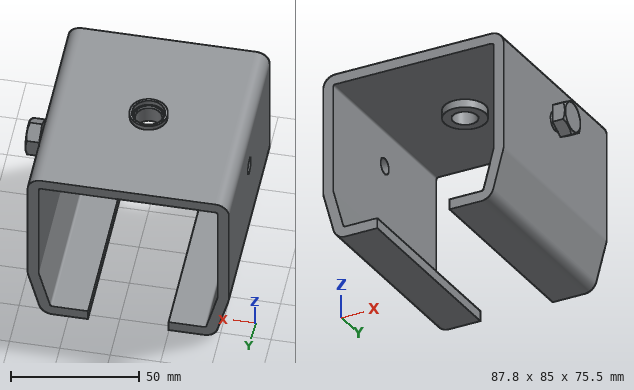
import cadquery as cq
import math

WIDTH = 80.0
LENGTH = 85.0
HEIGHT = 73.5
SHEET = 4.5
BEND_INNER_RADIUS = 1.05
BEND_OUTER_RADIUS = BEND_INNER_RADIUS + SHEET
KNEE_DEPTH = 52.2
KNEE_ANGLE = 15
MOUTH_WIDTH = 32.0

BUSH_DIAMETER = 15.0
BUSH_RISE = 2.0
FLANGE_DIAMETER = 18.0
FLANGE_THICKNESS = 3.5
BUSH_BORE = 10.5
COUNTERBORE_DIAMETER = 13.0
COUNTERBORE_DEPTH = 2.2
BORE_CHAMFER = 0.6

OVERALL_WIDTH = 87.8
BOLT_DEPTH = 20.0
BOLT_DIAMETER = 8.0
SIDE_HOLE_DIAMETER = 6.8
BOLT_END_X = OVERALL_WIDTH - WIDTH / 2
HEAD_THICKNESS = 5.5
HEAD_ACROSS_FLATS = 13.0
HEAD_ACROSS_CORNERS = HEAD_ACROSS_FLATS / math.cos(math.radians(30))
HEAD_FACE_DIAMETER = 12.3
HEAD_CONE_ANGLE = 30
BOLT_LENGTH = 9.9
UNDERHEAD_FILLET = 0.395
TIP_DIAMETER = 5.6
TIP_LENGTH = 1.5


def rounded_prism(offset, radius):
    """Solid inside the channel outline moved inwards by offset, with rounded corners."""
    half_width = WIDTH / 2 - offset
    knee_z = -KNEE_DEPTH + offset * math.tan(math.radians(KNEE_ANGLE / 2))
    bottom_z = -HEIGHT + offset
    half_bottom = half_width - (knee_z - bottom_z) * math.tan(math.radians(KNEE_ANGLE))
    outline = [
        (-half_width, -offset),
        (half_width, -offset),
        (half_width, knee_z),
        (half_bottom, bottom_z),
        (-half_bottom, bottom_z),
        (-half_width, knee_z),
    ]
    prism = cq.Workplane("XZ").polyline(outline).close().extrude(LENGTH / 2, both=True)
    return prism.edges("|Y").fillet(radius)


def make_channel():
    outside = rounded_prism(0, BEND_OUTER_RADIUS)
    inside = rounded_prism(SHEET, BEND_INNER_RADIUS)
    mouth = cq.Workplane("XY").box(MOUTH_WIDTH, LENGTH, HEIGHT / 2).translate((0, 0, -HEIGHT))
    return outside.cut(inside).cut(mouth)


def make_side_hole():
    """Cutter for the hole in the -X side."""
    start = cq.Workplane("YZ", origin=(-WIDTH / 2, 0, -BOLT_DEPTH))
    return start.circle(SIDE_HOLE_DIAMETER / 2).extrude(SHEET)


def make_bush():
    top = BUSH_RISE
    bottom = -SHEET - FLANGE_THICKNESS
    bore_top = top - COUNTERBORE_DEPTH
    bore = BUSH_BORE / 2
    section = [
        (bore, bottom),
        (FLANGE_DIAMETER / 2, bottom),
        (FLANGE_DIAMETER / 2, -SHEET),
        (BUSH_DIAMETER / 2, -SHEET),
        (BUSH_DIAMETER / 2, top),
        (COUNTERBORE_DIAMETER / 2, top),
        (COUNTERBORE_DIAMETER / 2, bore_top),
        (bore + BORE_CHAMFER, bore_top),
        (bore, bore_top - BORE_CHAMFER),
    ]
    return cq.Workplane("XZ").polyline(section).close().revolve(360, (0, 0), (0, 1))


def turned_about_x(section):
    """Solid of revolution about the X axis; points are (x, radius)."""
    return cq.Workplane("XY").polyline(section).close().revolve(360, (0, 0), (1, 0))


def make_bolt():
    """Hex bolt pointing to -X, two of its corners on the vertical."""
    seat_x = BOLT_END_X - HEAD_THICKNESS
    tip_x = seat_x - BOLT_LENGTH
    corner = HEAD_ACROSS_CORNERS / 2
    face = HEAD_FACE_DIAMETER / 2
    cone_length = (corner - face) * math.tan(math.radians(HEAD_CONE_ANGLE))

    hexagon = cq.Workplane("YZ", origin=(seat_x, 0, 0)).polygon(6, HEAD_ACROSS_CORNERS)
    hexagon = hexagon.extrude(HEAD_THICKNESS).rotate((0, 0, 0), (1, 0, 0), 90)
    head_section = [
        (seat_x, 0),
        (seat_x, corner),
        (BOLT_END_X - cone_length, corner),
        (BOLT_END_X, face),
        (BOLT_END_X, 0),
    ]
    head = hexagon.intersect(turned_about_x(head_section))
    shank_section = [
        (tip_x, 0),
        (tip_x, TIP_DIAMETER / 2),
        (tip_x + TIP_LENGTH, BOLT_DIAMETER / 2),
        (seat_x, BOLT_DIAMETER / 2),
        (seat_x, 0),
    ]
    bolt = head.union(turned_about_x(shank_section))
    bolt = bolt.faces("-X").faces(">X").edges("%CIRCLE").fillet(UNDERHEAD_FILLET)
    return bolt.translate((0, 0, -BOLT_DEPTH))


bush = make_bush()
bush_opening = cq.Workplane("XY").circle(BUSH_DIAMETER / 2).extrude(-SHEET)
result = make_channel().cut(make_side_hole()).cut(bush_opening).union(bush).union(make_bolt())